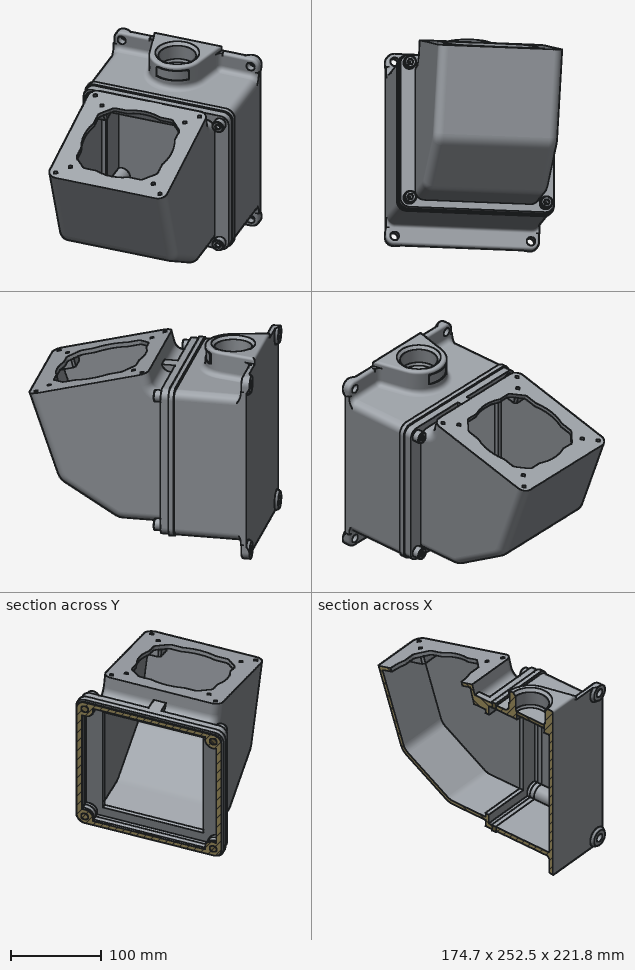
import cadquery as cq
import math


overall_depth = 252.5

case_side = 171.5
case_depth = 81.5
corner_radius = 9.5
case_wall = 6.3
back_wall = 6.0
front_edge_radius = 2.5
plate_height = 215.5
plate_thickness = 6.3
plate_edge_radius = 3.0
upper_root_radius = 6.3
lower_root_radius = 3.3
mount_hole_diameter = 9.5
pad_base_radius = 12.0
pad_thickness = 3.5
pad_foot = 0.3
hub_inset = corner_radius
screw_offset = case_side / 2 - hub_inset
mount_offset = plate_height / 2 - hub_inset
post_radius = 10.0

entry_top = 114.0
entry_depth = 32.5
entry_radius = 30.8
entry_flare = 14.0
entry_edge_radius = 3.0
bore_radius = 20.7
bore_chamfer = 3.5
bore_depth = 20.5
throat_depth = 23.7
throat_radius = 19.2
label_width = 35.5
label_shift = 4.0
label_bottom = 96.7
label_top = 109.0
label_recess = 1.0
label_corner = 2.0

plug_thickness = 5.0
plug_top = entry_top - throat_depth

gasket_side = 174.7
gasket_thickness = 5.8

base_thickness = 9.0
base_back = case_depth + gasket_thickness
base_front = base_back + base_thickness
base_skin = 5.0
face_side = 138.8
face_tilt = 15.0
hood_wall = 5.0
face_front = (pad_thickness - overall_depth, 62.5)
face_rear = (
    face_front[0] + face_side * math.cos(math.radians(face_tilt)),
    face_front[1] + face_side * math.sin(math.radians(face_tilt)),
)
neck_half_height = 77.5
lower_knee = (-148.0, -neck_half_height)
upper_knee = (-214.8, -37.0)
neck_bend_radius = 10.5
knee_radius = 20.2
hood_edge_radius = 10.0
passage_ledge = 4.8
rib_width = 14.6
rib_overlap = 1.3

opening_side = 96.0
opening_chamfer = 13.6
opening_radius = 51.8
opening_blend = 5.0
opening_shift = 1.0
face_hole_diameter = 4.0
face_hole_depth = 12.5
inner_hole_offset = 49.0
outer_hole_offset = 61.5
lug_inner = 43.0
lug_chamfer = 2.5
lug_depth = 16.5

shank_radius = 3.8
thread_depth = 20.2
head_radius = 6.5
head_height = 8.5
head_chamfer = 0.8
socket_size = 6.5
socket_depth = 1.5
socket_tip_radius = 2.8
socket_tip_taper = 40.0

screw_centres = [(sx * screw_offset, sz * screw_offset) for sx in (-1, 1) for sz in (-1, 1)]
mount_centres = [(sx * screw_offset, sz * mount_offset) for sx in (-1, 1) for sz in (-1, 1)]


def rounded_block(width, height, radius, start, depth):
    """Block with rounded corners, reaching from one depth to another."""
    block = cq.Workplane("XZ").workplane(offset=start).rect(width, height).extrude(depth)
    return block.edges("|Y").fillet(radius)


def rods(centres, radius, start, length):
    """Round rods along Y at the given (X, Z) places."""
    return cq.Workplane("XZ").workplane(offset=start).pushPoints(centres).circle(radius).extrude(length)


def inner_space(start, depth):
    """Space inside the case walls, leaving round posts at the four screws."""
    side = case_side - 2 * case_wall
    space = cq.Workplane("XZ").workplane(offset=start).rect(side, side).extrude(depth)
    return space.cut(rods(screw_centres, post_radius, start, depth))


def make_entry():
    """Tongue-shaped boss: a round front whose sides flare out to the back face."""
    flare = math.radians(entry_flare)
    side_x = entry_radius * math.cos(flare)
    side_y = -entry_depth - entry_radius * math.sin(flare)
    back_x = side_x - side_y * math.tan(flare)
    return (
        cq.Workplane("XY")
        .moveTo(-back_x, 0)
        .lineTo(-side_x, side_y)
        .threePointArc((0, -entry_depth - entry_radius), (side_x, side_y))
        .lineTo(back_x, 0)
        .close()
        .extrude(entry_top)
    )


def entry_bore():
    """Chamfered bore that narrows to the throat and opens into the case."""
    rim_radius = bore_radius + bore_chamfer
    return (
        cq.Workplane("XZ")
        .moveTo(0, entry_top)
        .lineTo(rim_radius, entry_top)
        .lineTo(bore_radius, entry_top - bore_chamfer)
        .lineTo(bore_radius, entry_top - bore_depth)
        .lineTo(throat_radius, plug_top)
        .lineTo(throat_radius, case_side / 2 - case_wall)
        .lineTo(0, case_side / 2 - case_wall)
        .close()
        .revolve(360, (0, 0), (0, 1))
        .translate((0, -entry_depth, 0))
    )


def label_pocket():
    """Shallow recess that follows the round front of the entry."""
    height = label_top - label_bottom
    window = (
        cq.Workplane("XZ")
        .workplane(offset=entry_depth)
        .center(label_shift, (label_bottom + label_top) / 2)
        .rect(label_width, height)
        .extrude(2 * entry_radius)
        .edges("|Y and >Z")
        .fillet(label_corner)
    )
    core = (
        cq.Workplane("XY", origin=(0, -entry_depth, label_bottom))
        .circle(entry_radius - label_recess)
        .extrude(height)
    )
    return window.cut(core)


def mounting_pads():
    """Tapered pads behind the plate, one round each mounting hole."""
    pads = cq.Workplane("XZ").pushPoints(mount_centres).circle(pad_base_radius).extrude(-pad_thickness)
    return pads.faces(">Y").chamfer(pad_thickness - pad_foot, pad_base_radius - hub_inset)


def plate_rim():
    """What rounding takes off the front edge of the plate, beyond the rounded roots."""
    square = rounded_block(case_side, plate_height, corner_radius, 0, plate_thickness)
    rim = square.cut(square.faces("<Y").edges().fillet(plate_edge_radius))
    entry_width = make_entry().val().BoundingBox().xlen + upper_root_radius
    depth = 2 * plate_thickness
    upper_half = (True, True, False)
    upper_roots = cq.Workplane("XY").box(2 * case_side, depth, case_side / 2 + upper_root_radius, upper_half)
    lower_roots = cq.Workplane("XY").box(2 * case_side, depth, case_side + 2 * lower_root_radius)
    entry_roots = cq.Workplane("XY").box(entry_width, depth, entry_top, upper_half)
    return rim.cut(upper_roots).cut(lower_roots).cut(entry_roots)


def rooted_case(root_radius):
    """Case and entry on an oversize slab, with rounded roots where they meet."""
    case = rounded_block(case_side, case_side, corner_radius, 0, case_depth)
    case = case.faces("<Y").edges().fillet(front_edge_radius)
    slab_side = 2 * plate_height
    slab = cq.Workplane("XZ").rect(slab_side, slab_side).extrude(plate_thickness)
    reach = case_side / 2 + root_radius
    slack = 0.3
    slab_roots = cq.selectors.BoxSelector(
        (-reach, -plate_thickness - slack, -reach), (reach, -plate_thickness + slack, entry_top - slack)
    )
    entry_roots = cq.selectors.BoxSelector(
        (-2 * entry_radius, -entry_depth - 2 * entry_radius, case_side / 2 - slack),
        (2 * entry_radius, -plate_thickness - slack, case_side / 2 + slack),
    )
    return slab.union(case).union(make_entry()).edges(slab_roots + entry_roots).fillet(root_radius)


def make_housing():
    plate_outline = rounded_block(case_side, plate_height, corner_radius, -pad_thickness, 2 * case_depth)
    outline = plate_outline.union(make_entry())

    room = 4 * plate_height
    upper_half = cq.Workplane("XY").rect(room, room).extrude(room)
    upper = rooted_case(upper_root_radius).intersect(outline).intersect(upper_half)
    lower = rooted_case(lower_root_radius).intersect(outline).cut(upper_half)
    body = upper.union(lower).clean()

    body = body.union(mounting_pads().intersect(plate_outline))
    body = body.cut(plate_rim())
    body = body.faces(">Z").edges().fillet(entry_edge_radius)

    body = body.cut(inner_space(back_wall, case_depth))
    body = body.cut(entry_bore()).cut(label_pocket())
    body = body.cut(rods(mount_centres, mount_hole_diameter / 2, -pad_thickness, case_depth))
    return body.cut(rods(screw_centres, shank_radius, case_depth - thread_depth, thread_depth))


def make_plug():
    return (
        cq.Workplane("XY", origin=(0, -entry_depth, plug_top - plug_thickness))
        .circle(throat_radius)
        .extrude(plug_thickness)
    )


def make_gasket():
    side_radius = corner_radius + (gasket_side - case_side) / 2
    gasket = rounded_block(gasket_side, gasket_side, side_radius, case_depth, gasket_thickness)
    gasket = gasket.cut(inner_space(case_depth, gasket_thickness))
    return gasket.cut(rods(screw_centres, shank_radius, case_depth, gasket_thickness))


def hood_corners():
    """(Y, Z) corners of the hood seen from the side, from the top of the neck round to its bottom."""
    tilt = math.radians(face_tilt)
    rear_y, rear_z = face_rear
    bend = (rear_y + (rear_z - neck_half_height) * math.tan(tilt), neck_half_height)
    return [bend, face_rear, face_front, upper_knee, lower_knee]


def hood_outline(back):
    """Side outline of the hood with sharp corners, reaching back to the given depth."""
    points = [(-back, neck_half_height)] + hood_corners() + [(-back, -neck_half_height)]
    return cq.Workplane("YZ").polyline(points).close()


def face_plane():
    """Workplane on the middle of the sloping face, pointing outward."""
    tilt = math.radians(face_tilt)
    middle = (0, (face_rear[0] + face_front[0]) / 2, (face_rear[1] + face_front[1]) / 2)
    return cq.Workplane(cq.Plane(middle, (1, 0, 0), (0, -math.sin(tilt), math.cos(tilt))))


face_normal = cq.selectors.ParallelDirSelector(face_plane().plane.zDir)


def hood_block():
    """Solid outside shape of the hood with all its rounded edges."""
    block = hood_outline(base_front).extrude(face_side / 2, both=True)
    bend = hood_corners()[0]
    for (y, z), radius in ((bend, neck_bend_radius), (upper_knee, knee_radius), (lower_knee, knee_radius)):
        block = block.edges(cq.selectors.NearestToPointSelector((0, y, z))).fillet(radius)
    face_slope = cq.Vector(0, math.cos(math.radians(face_tilt)), math.sin(math.radians(face_tilt)))
    open_rims = cq.selectors.ParallelDirSelector(face_slope) + cq.StringSyntaxSelector("|Z")
    return block.faces("<X or >X").edges(-open_rims).fillet(hood_edge_radius)


def hood_cavity():
    """Room inside the hood, one wall thickness in from its outside."""
    half_width = face_side / 2 - hood_wall
    outline = hood_outline(base_front - hood_wall).offset2D(-hood_wall, "intersection")
    cavity = outline.extrude(half_width, both=True)
    for y, z in (upper_knee, lower_knee):
        cavity = cavity.edges(cq.selectors.NearestToPointSelector((0, y, z))).fillet(knee_radius - hood_wall)
    return cavity


def face_opening():
    """Chamfered square widened by a circle that bulges past its four sides."""
    square = face_plane().center(0, opening_shift).rect(opening_side, opening_side).extrude(-2 * hood_wall)
    square = square.edges(face_normal).chamfer(opening_chamfer)
    bulge = face_plane().center(0, opening_shift).circle(opening_radius).extrude(-2 * hood_wall)
    return square.union(bulge).edges(face_normal).fillet(opening_blend)


def screw_lugs():
    """Thick corners under the face for its screw holes."""
    size = face_side / 2 - lug_inner
    middle = (face_side / 2 + lug_inner) / 2
    lugs = face_plane().rect(2 * middle, 2 * middle, forConstruction=True).vertices()
    return lugs.rect(size, size).extrude(-lug_depth).edges(face_normal).chamfer(lug_chamfer)


def face_holes():
    """An inner and an outer screw hole toward each corner of the face."""
    centres = [
        (sx * offset, sy * offset)
        for offset in (inner_hole_offset, outer_hole_offset)
        for sx in (-1, 1)
        for sy in (-1, 1)
    ]
    return face_plane().pushPoints(centres).circle(face_hole_diameter / 2).extrude(-face_hole_depth)


def neck_rib():
    """Rib in the middle between the top of the base and the back of the neck."""
    tilt = math.radians(face_tilt)
    top = case_side / 2
    bottom = neck_half_height - hood_wall / 2
    neck_y = face_rear[0] + (face_rear[1] - top) * math.tan(tilt) - rib_overlap
    return (
        cq.Workplane("YZ")
        .polyline([(-base_front, bottom), (-base_front, top), (neck_y, top), (neck_y, bottom)])
        .close()
        .extrude(rib_width / 2, both=True)
    )


def make_cover():
    base = rounded_block(case_side, case_side, corner_radius, base_back, base_thickness)
    base = base.cut(inner_space(base_back, base_thickness - base_skin))
    base = base.cut(rods(screw_centres, shank_radius, base_back, base_thickness))
    passage = (
        cq.Workplane("XZ")
        .workplane(offset=base_back)
        .rect(face_side - 2 * (hood_wall + passage_ledge), 2 * (neck_half_height - hood_wall - passage_ledge))
        .extrude(base_thickness)
    )
    block = hood_block()
    hood = block.cut(hood_cavity()).union(screw_lugs().intersect(block))
    cover = base.cut(passage).union(hood).union(neck_rib())
    return cover.cut(face_opening()).cut(face_holes())


def make_screw(x, z):
    """Socket head screw whose head sits on the front of the base."""
    start = case_depth - thread_depth
    shank = rods([(x, z)], shank_radius, start, base_front - start)
    head = rods([(x, z)], head_radius, base_front, head_height).faces("<Y").chamfer(head_chamfer)
    socket = cq.Workplane("XZ", origin=(x, -base_front - head_height, z))
    hexagon = socket.polygon(6, socket_size).extrude(-socket_depth)
    tip = (
        socket.workplane(offset=-socket_depth)
        .circle(socket_tip_radius)
        .extrude(-socket_tip_radius, taper=socket_tip_taper)
    )
    return shank.union(head).cut(hexagon).cut(tip)


housing = make_housing()
plug = make_plug()
gasket = make_gasket()
cover = make_cover()
screws = [make_screw(x, z).val() for x, z in screw_centres]
result = cq.Compound.makeCompound([housing.val(), plug.val(), gasket.val(), cover.val(), *screws])